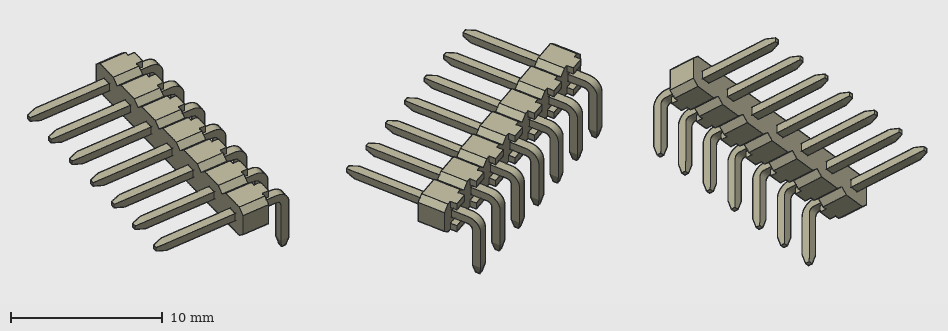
import cadquery as cq

pin_count = 7
row_length = 17.78
pitch = row_length / pin_count

housing_height = 2.5
housing_depth = 2.01
corner_cut_x = 0.46
corner_cut_z = 0.41

tab_width = 1.0
tab_height = 0.55
tab_depth = 0.5

pin_width = 0.64
tip_width = pin_width / 2
tip_length = 0.71
bend_outer_radius = 1.0
bend_inner_radius = bend_outer_radius - pin_width
leg_back = 2.2
overall_depth = 10.31
overall_height = 5.81

half_height = housing_height / 2
half_pin = pin_width / 2
straight_tip_y = leg_back - overall_depth
straight_shoulder_y = straight_tip_y + tip_length
leg_y = leg_back - half_pin
leg_tip_z = half_height - overall_height
leg_shoulder_z = leg_tip_z + tip_length
bend_y = leg_back - bend_outer_radius
bend_z = half_pin - bend_outer_radius

pin_places = [(i - (pin_count - 1) / 2) * pitch for i in range(pin_count)]


def make_segment(x):
    """One octagonal housing segment, extruded forward from the rear face."""
    half_pitch = pitch / 2
    half_flat = half_pitch - corner_cut_x
    half_side = half_height - corner_cut_z
    outline = [
        (x - half_flat, half_height),
        (x + half_flat, half_height),
        (x + half_pitch, half_side),
        (x + half_pitch, -half_side),
        (x + half_flat, -half_height),
        (x - half_flat, -half_height),
        (x - half_pitch, -half_side),
        (x - half_pitch, half_side),
    ]
    return cq.Workplane("XZ").polyline(outline).close().extrude(housing_depth)


def make_tabs(x):
    """The upper and lower standoff tabs on the rear face of one segment."""
    tab_z = half_height - tab_height / 2
    return (
        cq.Workplane("XZ")
        .pushPoints([(x, tab_z), (x, -tab_z)])
        .rect(tab_width, tab_height)
        .extrude(-tab_depth)
    )


def make_pin_hole(x):
    """The square passage that one pin fills."""
    return cq.Workplane("XZ").center(x, 0).rect(pin_width, pin_width).extrude(housing_depth)


def make_housing():
    housing = make_segment(pin_places[0])
    for x in pin_places[1:]:
        housing = housing.union(make_segment(x))
    for x in pin_places:
        housing = housing.union(make_tabs(x)).cut(make_pin_hole(x))
    return housing.clean()


def make_tip(shoulder_plane):
    """A tapered square tip, growing along the normal of the plane at its shoulder."""
    return (
        cq.Workplane(shoulder_plane)
        .rect(pin_width, pin_width)
        .workplane(offset=tip_length)
        .rect(tip_width, tip_width)
        .loft(ruled=True)
    )


def make_pin(x):
    """One right-angle pin: straight run, rounded bend, downward leg and two tips."""
    wire = (
        cq.Workplane("YZ", origin=(x - half_pin, 0, 0))
        .moveTo(straight_shoulder_y, half_pin)
        .lineTo(bend_y, half_pin)
        .radiusArc((leg_back, bend_z), bend_outer_radius)
        .lineTo(leg_back, leg_shoulder_z)
        .lineTo(leg_back - pin_width, leg_shoulder_z)
        .lineTo(leg_back - pin_width, bend_z)
        .radiusArc((bend_y, -half_pin), -bend_inner_radius)
        .lineTo(straight_shoulder_y, -half_pin)
        .close()
        .extrude(pin_width)
    )
    straight_plane = cq.Plane((x, straight_shoulder_y, 0), xDir=(1, 0, 0), normal=(0, -1, 0))
    leg_plane = cq.Plane((x, leg_y, leg_shoulder_z), xDir=(1, 0, 0), normal=(0, 0, -1))
    return wire.union(make_tip(straight_plane)).union(make_tip(leg_plane))


housing = make_housing()
pins = [make_pin(x) for x in pin_places]

result = cq.Compound.makeCompound([housing.val(), *[pin.val() for pin in pins]])